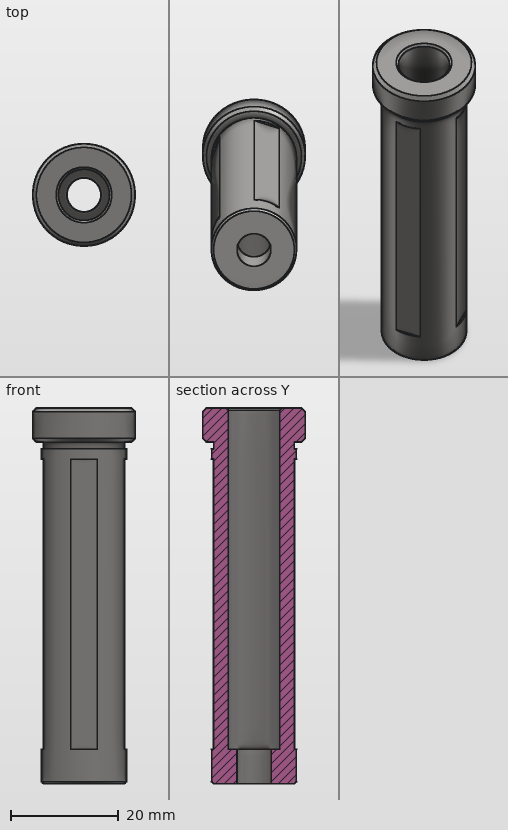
import cadquery as cq

length = 69.85
head_diameter = 19.1
body_diameter = 15.85
neck_diameter = 15.1
bore_diameter = 9.5
outlet_diameter = 6.3

head_height = 6.35
neck_height = 1.25
upper_band_height = 1.9
lower_band_height = 6.4
head_bottom = length - head_height
body_top = head_bottom - neck_height
flat_top = body_top - upper_band_height
flat_bottom = lower_band_height
bore_floor = lower_band_height

flat_spacing = neck_diameter
head_chamfer = 0.7
bottom_chamfer = 0.4
bore_chamfer = 0.4


def cylinder(diameter, bottom, top):
    """Upright cylinder on the Z axis between two heights."""
    return cq.Workplane("XY").workplane(offset=bottom).circle(diameter / 2).extrude(top - bottom)


def make_outside():
    """Body, relief neck and chamfered head."""
    body = cylinder(body_diameter, 0, body_top).faces("<Z").chamfer(bottom_chamfer)
    neck = cylinder(neck_diameter, body_top, head_bottom)
    head = cylinder(head_diameter, head_bottom, length).faces("<Z or >Z").chamfer(head_chamfer)
    return body.union(neck).union(head)


def cut_flats(part):
    """Four long flats, one facing each side."""
    flat_length = flat_top - flat_bottom
    sleeve = (
        cq.Workplane("XY")
        .workplane(offset=flat_bottom)
        .rect(2 * head_diameter, 2 * head_diameter)
        .rect(flat_spacing, flat_spacing)
        .extrude(flat_length)
    )
    return part.cut(sleeve)


def cut_bore(part):
    """Stepped bore: wide from the top, narrow outlet through the floor."""
    bore = cylinder(bore_diameter, bore_floor, length)
    outlet = cylinder(outlet_diameter, 0, length)
    bored = part.cut(bore).cut(outlet)
    mouth_edge = cq.selectors.RadiusNthSelector(0)
    return bored.faces(">Z").edges(mouth_edge).chamfer(bore_chamfer)


result = cut_bore(cut_flats(make_outside()))